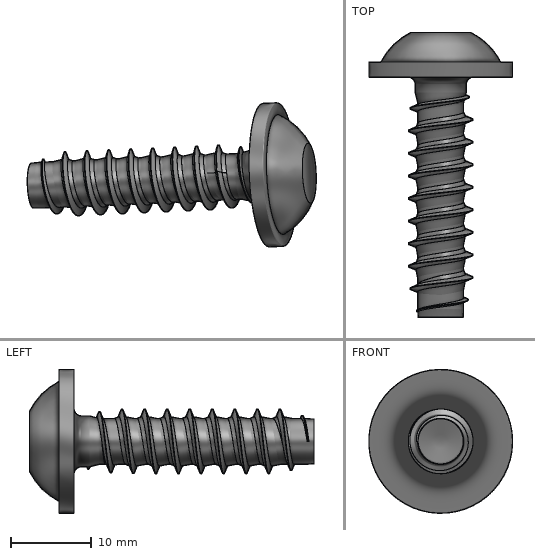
import cadquery as cq
import math


flange_radius = 9.0
flange_thickness = 1.9
flange_edge_fillet = 0.12
head_height = 5.6
dome_base_radius = 7.5
dome_top_radius = 3.75
dome_height = head_height - flange_thickness

shank_length = 30.0
neck_radius = 3.2
neck_fillet = 0.9
neck_end = 1.93
neck_taper_end = 3.2

core_radius = 2.88
tip_radius = 2.82
tip_taper_length = 1.0
tip_dimple_radius = 2.65
tip_dimple_depth = 0.15
trim_length = 3.0
trim_radius = 6.0

pitch = 2.82
crest_radius = 4.05
crest_half_width = 0.04
flank_base_radius = 3.1
flank_base_offset = 0.42
ramp_start = -1.14
slope_end = 1.62
slope_end_radius = core_radius - 0.02
ridge_bottom_radius = core_radius - 0.08

thread_start_angle = -90
thread_start = 1.755
run_in_turns = 1.25
full_turns = 7.25
run_out_turns = 1.25
run_in_rise = 0.55
run_out_drop = 1.0


def make_head():
    """Flange with lightly rounded edges, carrying a flat-topped spherical dome."""
    flange = (
        cq.Workplane("XY")
        .circle(flange_radius)
        .extrude(-flange_thickness)
        .edges()
        .fillet(flange_edge_fillet)
    )
    centre_depth = (dome_base_radius**2 - dome_top_radius**2 - dome_height**2) / (2 * dome_height)
    sphere_radius = (dome_base_radius**2 + centre_depth**2) ** 0.5
    middle_height = dome_height / 2
    middle_radius = (sphere_radius**2 - (middle_height + centre_depth) ** 2) ** 0.5
    dome = (
        cq.Workplane("XZ")
        .moveTo(0, -flange_thickness)
        .lineTo(dome_base_radius, -flange_thickness)
        .threePointArc(
            (middle_radius, -flange_thickness - middle_height),
            (dome_top_radius, -head_height),
        )
        .lineTo(0, -head_height)
        .close()
        .revolve(360, (0, 0), (0, 1))
    )
    return flange.union(dome)


def make_core():
    """Filleted neck, tapering into the core, left overlong for trimming at the tip."""
    return (
        cq.Workplane("XZ")
        .lineTo(neck_radius + neck_fillet, 0)
        .radiusArc((neck_radius, neck_fillet), neck_fillet)
        .lineTo(neck_radius, neck_end)
        .lineTo(core_radius, neck_taper_end)
        .lineTo(core_radius, shank_length - tip_taper_length)
        .lineTo(tip_radius, shank_length)
        .lineTo(tip_radius, shank_length + trim_length)
        .lineTo(0, shank_length + trim_length)
        .close()
        .revolve(360, (0, 0), (0, 1))
    )


def thread_helix(turns, rise):
    """Right-hand helix from the X axis, its radius growing by rise over its length."""
    height = pitch * turns
    if rise == 0:
        return cq.Wire.makeHelix(pitch, height, core_radius)
    cone_angle = math.atan(rise / height)
    slant = 1 / math.cos(cone_angle)
    return cq.Wire.makeHelix(
        pitch * slant, height * slant, core_radius, angle=math.degrees(cone_angle)
    )


def make_ridge(profile, first_turn, turns, rise=0):
    """Sweep a (radius, axial) profile along part of the thread, moving it outward by rise."""
    path = cq.Workplane(thread_helix(turns, rise))
    ridge = cq.Workplane("XZ").polyline(profile).close().sweep(path, isFrenet=True)
    start_angle = thread_start_angle + 360 * first_turn
    start_height = thread_start + pitch * first_turn
    return ridge.rotate((0, 0, 0), (0, 0, 1), start_angle).translate((0, 0, start_height))


def thread_profile(radial_shift):
    """Thin blade with a short ramp before it and a long, shallow slope behind it."""
    points = [
        (ridge_bottom_radius, ramp_start),
        (flank_base_radius, -flank_base_offset),
        (crest_radius, -crest_half_width),
        (crest_radius, crest_half_width),
        (flank_base_radius, flank_base_offset),
        (slope_end_radius, slope_end),
        (ridge_bottom_radius, slope_end),
    ]
    return [(radius + radial_shift, axial) for radius, axial in points]


def make_thread_parts():
    """Thread growing out of the neck, running at full height, then sinking in at the tip."""
    run_out_turn = run_in_turns + full_turns
    return [
        make_ridge(thread_profile(0), run_in_turns, full_turns),
        make_ridge(thread_profile(-run_in_rise), 0, run_in_turns, run_in_rise),
        make_ridge(thread_profile(0), run_out_turn, run_out_turns, -run_out_drop),
    ]


def make_tip_trim():
    """Everything beyond the end face, with a shallow cone that dimples the face."""
    return (
        cq.Workplane("XZ")
        .moveTo(0, shank_length - tip_dimple_depth)
        .lineTo(tip_dimple_radius, shank_length)
        .lineTo(trim_radius, shank_length)
        .lineTo(trim_radius, shank_length + 2 * trim_length)
        .lineTo(0, shank_length + 2 * trim_length)
        .close()
        .revolve(360, (0, 0), (0, 1))
    )


screw = make_core()
for thread_part in make_thread_parts():
    screw = screw.union(thread_part)
screw = screw.cut(make_tip_trim()).union(make_head())
result = screw.rotate((0, 0, 0), (1, 0, 0), 90)